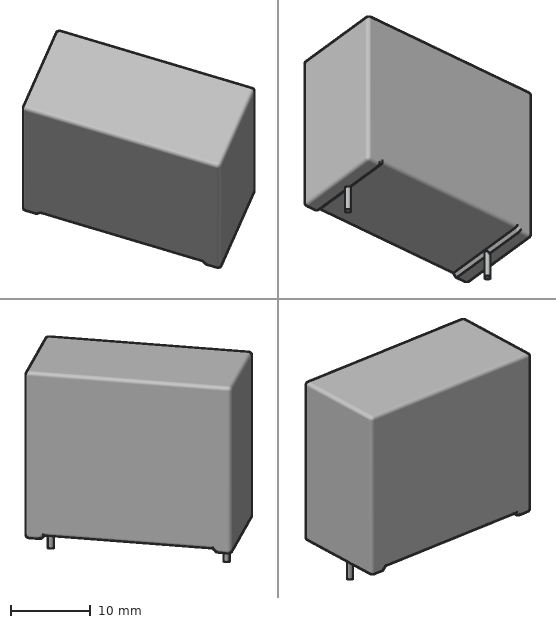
import cadquery as cq

length = 26.5
depth = 13.0
overall_height = 26.0

edge_radius = 0.5
pin_length = 3.5
body_height = overall_height - pin_length

foot_length = 2.0
recess_height = 0.5

pin_diameter = 0.8
pin_pitch = 22.5
pin_embed = 2 * recess_height


def make_body():
    """Box standing on two feet, with its outer edges rounded."""
    half_length = length / 2
    foot_end = half_length - foot_length
    recess_end = foot_end - recess_height
    profile = [
        (-half_length, 0),
        (-foot_end, 0),
        (-recess_end, recess_height),
        (recess_end, recess_height),
        (foot_end, 0),
        (half_length, 0),
        (half_length, body_height),
        (-half_length, body_height),
    ]
    body = cq.Workplane("XZ").polyline(profile).close().extrude(depth / 2, both=True)
    return body.faces("<X or >X or <Y or >Y").edges().fillet(edge_radius)


def make_pin(x):
    """Straight pin hanging below the body at the given X position."""
    return (
        cq.Workplane("XY", origin=(x, 0, -pin_length))
        .circle(pin_diameter / 2)
        .extrude(pin_length + pin_embed)
    )


result = make_body()
for side in (-1, 1):
    result = result.union(make_pin(side * pin_pitch / 2))